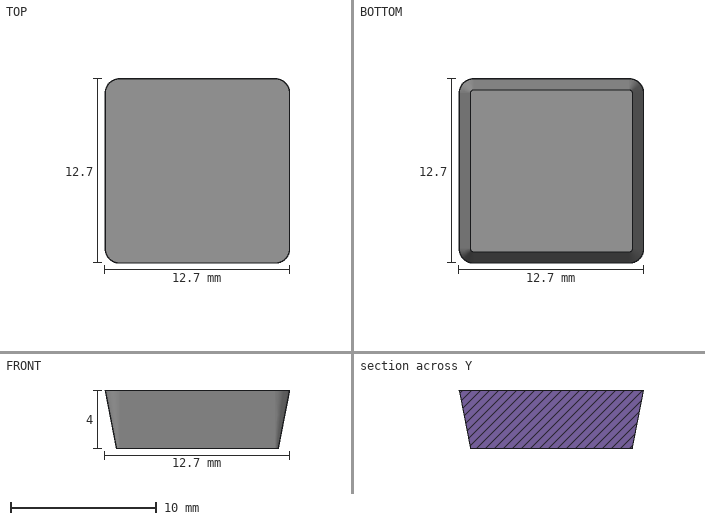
import cadquery as cq

top_side = 12.66
thickness = 4.0
relief_angle = 11.0
top_corner_radius = 1.0


def rounded_square(side, corner_radius):
    """Closed square outline with rounded corners, centred on the origin."""
    return cq.Sketch().rect(side, side).vertices().fillet(corner_radius)


result = (
    cq.Workplane("XY", origin=(0, 0, thickness))
    .placeSketch(rounded_square(top_side, top_corner_radius))
    .extrude(-thickness, taper=relief_angle)
)